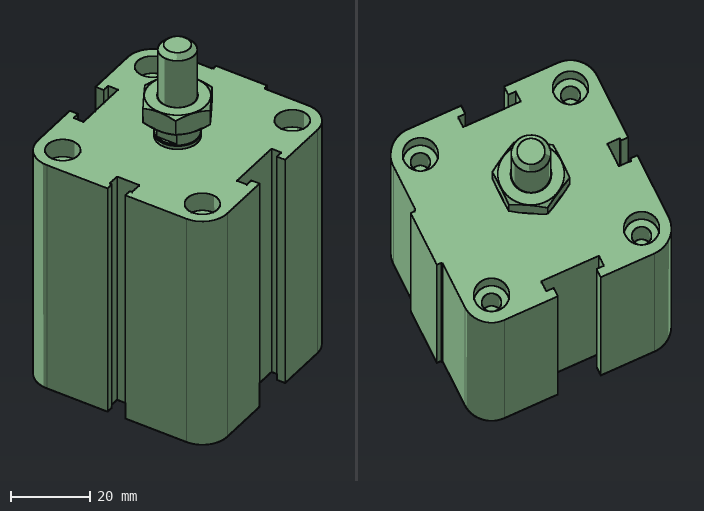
import cadquery as cq
import math

TOTAL_HEIGHT = 99.0

HOUSING_WIDTH = 57.0
HOUSING_HEIGHT = 70.4
CORNER_RADIUS = 7.5

RIDGE_WIDTH = 15.4
RIDGE_BASE_WIDTH = 16.0
RIDGE_HEIGHT = 1.5
RIDGE_BASE_HEIGHT = 0.3

SIDE_SLOT = (12.0, 16.1, 2.5, 5.4)
FRONT_SLOT = (5.3, 6.7, 2.1, 5.5)

MOUNT_SPACING = 42.0
COUNTERBORE_DIAMETER = 9.0
COUNTERBORE_DEPTH = 5.4
PILOT_DIAMETER = 4.95
PILOT_DEPTH = 14.5

COLLAR_DIAMETER = 12.0
COLLAR_HEIGHT = 1.2
COLLAR_CHAMFER_HEIGHT = 0.2
NECK_DIAMETER = 11.7
NECK_CHAMFER = 0.7
FLATS_WIDTH = 10.0
FLATS_OFFSET = 1.5
THREAD_DIAMETER = 10.0
TIP_CHAMFER = 1.5

NUT_WIDTH = 17.0
HEX_HALF_ANGLE = 30.0
NUT_HEIGHT = 6.0
NUT_BASE = 76.9
NUT_FACE_DIAMETER = 16.8
NUT_CHAMFER_ANGLE = 30.0
BORE_CHAMFER = 0.2


def t_slot(mouth_width, inner_width, lip, depth):
    """T-slot prism along Z, cut into the housing face at -Y."""
    face = -HOUSING_WIDTH / 2
    mouth = cq.Workplane("XY").rect(mouth_width, 2 * lip).extrude(HOUSING_HEIGHT)
    cavity_depth = depth - lip
    cavity = (
        cq.Workplane("XY")
        .center(0, lip + cavity_depth / 2)
        .rect(inner_width, cavity_depth)
        .extrude(HOUSING_HEIGHT)
    )
    return mouth.union(cavity).translate((0, face, 0))


def ridge():
    """Raised rail along the +Y face, with a slightly wider foot."""
    face = HOUSING_WIDTH / 2
    profile = [
        (RIDGE_BASE_WIDTH / 2, face - CORNER_RADIUS),
        (RIDGE_BASE_WIDTH / 2, face + RIDGE_BASE_HEIGHT),
        (RIDGE_WIDTH / 2, face + RIDGE_BASE_HEIGHT),
        (RIDGE_WIDTH / 2, face + RIDGE_HEIGHT),
    ]
    mirrored = [(-x, y) for x, y in reversed(profile)]
    return cq.Workplane("XY").polyline(profile + mirrored).close().extrude(HOUSING_HEIGHT)


def make_housing():
    body = cq.Workplane("XY").rect(HOUSING_WIDTH, HOUSING_WIDTH).extrude(HOUSING_HEIGHT)
    body = body.edges("|Z").fillet(CORNER_RADIUS)
    body = body.union(ridge())
    body = body.cut(t_slot(*FRONT_SLOT))
    for angle in (-90, 90):
        body = body.cut(t_slot(*SIDE_SLOT).rotate((0, 0, 0), (0, 0, 1), angle))
    return (
        body.faces(">Z")
        .workplane(origin=(0, 0, HOUSING_HEIGHT))
        .rect(MOUNT_SPACING, MOUNT_SPACING, forConstruction=True)
        .vertices()
        .cboreHole(PILOT_DIAMETER, COUNTERBORE_DIAMETER, COUNTERBORE_DEPTH, PILOT_DEPTH)
    )


def make_rod():
    """Turned rod with two wrench flats across the neck, facing -Y and +Y."""
    neck_radius = NECK_DIAMETER / 2
    thread_radius = THREAD_DIAMETER / 2
    neck_base = HOUSING_HEIGHT + COLLAR_HEIGHT
    rod = (
        cq.Workplane("XZ")
        .moveTo(0, HOUSING_HEIGHT)
        .lineTo(COLLAR_DIAMETER / 2, HOUSING_HEIGHT)
        .lineTo(COLLAR_DIAMETER / 2, neck_base - COLLAR_CHAMFER_HEIGHT)
        .lineTo(neck_radius, neck_base)
        .lineTo(neck_radius, NUT_BASE - NECK_CHAMFER)
        .lineTo(neck_radius - NECK_CHAMFER, NUT_BASE)
        .lineTo(thread_radius, NUT_BASE)
        .lineTo(thread_radius, TOTAL_HEIGHT - TIP_CHAMFER)
        .lineTo(thread_radius - TIP_CHAMFER, TOTAL_HEIGHT)
        .lineTo(0, TOTAL_HEIGHT)
        .close()
        .revolve(360, (0, 0, 0), (0, 1, 0))
    )
    flats_base = HOUSING_HEIGHT + FLATS_OFFSET
    for side in (-1, 1):
        flat_cut = (
            cq.Workplane("XY", origin=(0, 0, flats_base))
            .center(0, side * (FLATS_WIDTH + COLLAR_DIAMETER) / 2)
            .rect(2 * COLLAR_DIAMETER, COLLAR_DIAMETER)
            .extrude(NUT_BASE - flats_base)
        )
        rod = rod.cut(flat_cut)
    return rod


def make_nut():
    """Hexagon nut with corners on the X axis, chamfered on both ends."""
    corner_diameter = NUT_WIDTH / math.cos(math.radians(HEX_HALF_ANGLE))
    corner_radius = corner_diameter / 2
    face_radius = NUT_FACE_DIAMETER / 2
    chamfer_height = (corner_radius - face_radius) * math.tan(math.radians(NUT_CHAMFER_ANGLE))
    blank = (
        cq.Workplane("XZ")
        .polyline([
            (0, 0),
            (face_radius, 0),
            (corner_radius, chamfer_height),
            (corner_radius, NUT_HEIGHT - chamfer_height),
            (face_radius, NUT_HEIGHT),
            (0, NUT_HEIGHT),
        ])
        .close()
        .revolve(360, (0, 0, 0), (0, 1, 0))
    )
    hexagon = cq.Workplane("XY").polygon(6, corner_diameter).extrude(NUT_HEIGHT)
    bore = cq.Workplane("XY").circle(THREAD_DIAMETER / 2).extrude(NUT_HEIGHT)
    nut = hexagon.intersect(blank).cut(bore)
    bore_rims = cq.selectors.RadiusNthSelector(0)
    nut = nut.edges(bore_rims).chamfer(BORE_CHAMFER)
    return nut.translate((0, 0, NUT_BASE))


housing = make_housing()
rod = make_rod()
nut = make_nut()

result = cq.Compound.makeCompound([housing.val(), rod.val(), nut.val()])